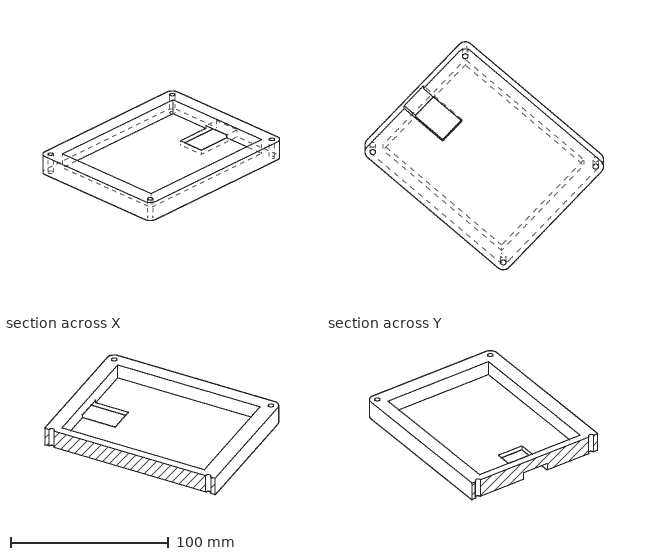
import cadquery as cq

width = 97.5
length = 121.5
height = 13.0
corner_radius = 5.0

hole_diameter = 3.4
hole_spacing_x = width - 2 * corner_radius
hole_spacing_y = length - 2 * corner_radius

pocket_width = 77.8
pocket_length = 101.3
pocket_center_x = 0.4
pocket_center_y = 0.4
floor_thickness = 3.0
pocket_back_y = pocket_center_y + pocket_length / 2

channel_width = 18.2
channel_height = 5.0
channel_center_x = -0.6
window_length = 23.2
channel_front_y = pocket_back_y - window_length
channel_length = length / 2 - channel_front_y


def make_body():
    body = cq.Workplane("XY").rect(width, length).extrude(height)
    return body.edges("|Z").fillet(corner_radius)


def make_screw_holes():
    centers = cq.Workplane("XY").rect(hole_spacing_x, hole_spacing_y, forConstruction=True).vertices()
    return centers.circle(hole_diameter / 2).extrude(height)


def make_pocket():
    floor = cq.Workplane("XY", origin=(pocket_center_x, pocket_center_y, floor_thickness))
    return floor.rect(pocket_width, pocket_length).extrude(height - floor_thickness)


def make_cable_channel():
    channel_center_y = channel_front_y + channel_length / 2
    channel = cq.Workplane("XY").center(channel_center_x, channel_center_y)
    return channel.rect(channel_width, channel_length).extrude(channel_height)


result = make_body().cut(make_screw_holes()).cut(make_pocket()).cut(make_cable_channel())